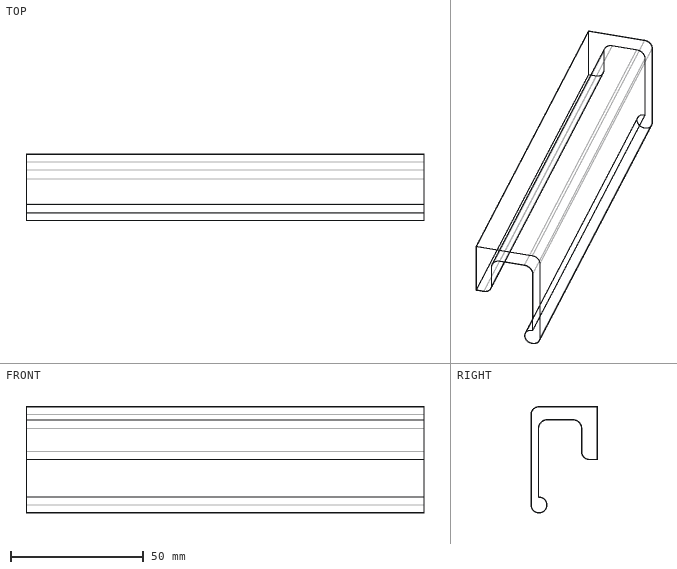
import cadquery as cq

length = 150.0
depth = 25.0
height = 40.0

top_thickness = 5.0
lip_thickness = 6.0
front_thickness = 2.8
lip_height = 20.0

bead_radius = 3.0
outer_corner_radius = 3.0
inner_corner_radius = 3.3
lip_corner_radius = 3.0

front_y = -depth / 2
back_y = depth / 2
top_z = height / 2
bottom_z = -height / 2
front_inner_y = front_y + front_thickness
lip_inner_y = back_y - lip_thickness
ceiling_z = top_z - top_thickness
lip_bottom_z = top_z - lip_height
bead_y = front_y + bead_radius
bead_z = bottom_z + bead_radius


def make_channel():
    """Extrude the front wall, top and short back lip, then round its corners."""
    channel = (
        cq.Workplane("YZ")
        .moveTo(front_y, bead_z)
        .lineTo(front_y, top_z)
        .lineTo(back_y, top_z)
        .lineTo(back_y, lip_bottom_z)
        .lineTo(lip_inner_y, lip_bottom_z)
        .lineTo(lip_inner_y, ceiling_z)
        .lineTo(front_inner_y, ceiling_z)
        .lineTo(front_inner_y, bead_z)
        .close()
        .extrude(length / 2, both=True)
    )
    rounded_corners = [
        (front_y, top_z, outer_corner_radius),
        (front_inner_y, ceiling_z, inner_corner_radius),
        (lip_inner_y, ceiling_z, inner_corner_radius),
        (lip_inner_y, lip_bottom_z, lip_corner_radius),
    ]
    for y, z, radius in rounded_corners:
        corner_edge = cq.selectors.NearestToPointSelector((0, y, z))
        channel = channel.edges("|X").edges(corner_edge).fillet(radius)
    return channel


def make_bead():
    """Round bead along the free edge of the front wall."""
    return (
        cq.Workplane("YZ")
        .center(bead_y, bead_z)
        .circle(bead_radius)
        .extrude(length / 2, both=True)
    )


result = make_channel().union(make_bead())